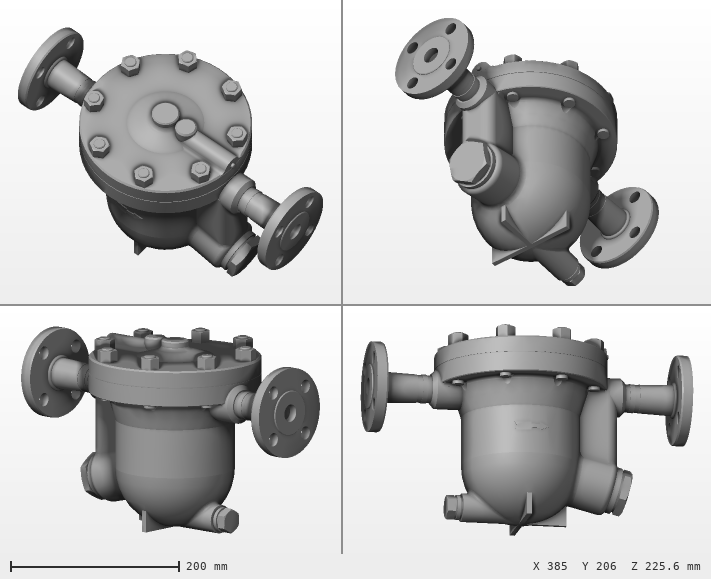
import cadquery as cq
import math


cover_radius = 103.0
cover_top = 46.2
cover_edge = 2.0
gasket_z = 26.1
gasket_gap = 1.0
gasket_inset = 0.6
flange_bottom = 3.0
flange_edge = 1.0
underside_fillet = 4.0

body_radius = 71.2
cone_top_radius = 80.4
cone_bottom = -31.2
body_bottom = -160.6
dome_center_z = body_bottom + body_radius

stud_count = 8
stud_circle_radius = 89.0
stud_diameter = 14.0
stud_top = 61.7
stud_chamfer = 1.0
nut_flats = 21.0
nut_height = 13.5
nut_turn = 22.5
stud_bottom = -1.0
spotface_diameter = 21.0
spotface_depth = 12.0

hump_radius = 46.0
hump_neck_radius = 22.0
hump_neck_z = 53.0
top_plug_radius = 16.5
top_plug_shoulder_z = 57.5
part_top = 65.0
top_plug_chamfer = 1.5
cap_x = 31.5
cap_radius = 13.0
cap_chamfer = 2.0
passage_radius = 13.3
passage_fillet = 7.0
passage_setback = 0.4
pin_radius = 3.0
pin_z = 49.3
pin_tip_x = 106.0

inlet_face = 185.0
outlet_face = 200.0
pipe_flange_radius = 54.0
raised_face_radius = 27.0
raised_face_height = 1.5
raised_face_chamfer = 0.8
pipe_flange_thickness = 13.5
pipe_flange_chamfer = 1.0
pipe_bolt_count = 4
pipe_bolt_circle_radius = 40.0
pipe_bolt_diameter = 16.0
hub_fillet = 3.0
hub_radius = 18.7
hub_end_radius = 17.1
hub_end = 58.0
pipe_radius = 16.5
weld_radius = 17.2
weld_start = 64.0
weld_end = 70.0
pipe_end = 75.5
pipe_boss_radius = 23.2
pipe_boss_chamfer = 5.0
bore_radius = 10.5
bore_depth = 10.0

riser_half_width = 23.4
riser_end = 114.4
riser_corner = 13.4
riser_bottom = -92.0
strainer_angle = 14.0
strainer_axis_z = -85.8
strainer_radius = 33.2
strainer_length = 112.0
strainer_fillet = 7.0
strainer_root_fillet = 8.0
strainer_root_top = -70.0
strainer_washer_radius = 28.0
strainer_washer_end = 118.5
strainer_neck_radius = 25.0
strainer_hex_start = 121.5
strainer_hex_end = 131.5
strainer_hex_flats = 50.0

drain_radius = 17.0
drain_lift = 0.3
drain_z = body_bottom + drain_radius + drain_lift
drain_fillet = 4.0
drain_boss_end = 72.6
drain_washer_radius = 15.0
drain_washer_start = 75.0
drain_washer_end = 79.0
drain_neck_radius = 13.0
drain_hex_start = 81.0
drain_hex_end = 91.0
drain_hex_flats = 26.0

foot_reach = 55.0
foot_thickness = 6.0
foot_top = -130.0
arrow_z = -57.0
arrow_half_length = 20.8
arrow_half_height = 4.9
arrow_shaft_half = 2.4
arrow_tail_end = -1.0
arrow_head_start = 9.6
arrow_notch = 3.0
arrow_relief = 1.3


def cylinder_x(radius, x_start, x_end, z=0.0):
    """Cylinder along X between two stations."""
    plane = cq.Workplane("YZ", origin=(x_start, 0, z))
    return plane.circle(radius).extrude(x_end - x_start)


def hex_prism(plane, flats, height, chamfered_end):
    """Hexagon bar with the corners of the chosen end turned off conically."""
    corner_radius = flats / math.sqrt(3)
    turned_off = corner_radius - flats / 2
    prism = plane.polygon(6, 2 * corner_radius).extrude(height)
    envelope = plane.circle(corner_radius).extrude(height)
    envelope = envelope.faces(chamfered_end).chamfer(turned_off / 2, turned_off)
    return prism.intersect(envelope)


def make_shell():
    """Body cone, cylinder and spherical bottom as one revolved solid."""
    dome_mid = body_radius * math.sqrt(0.5)
    profile = (
        cq.Workplane("XZ")
        .moveTo(0, gasket_z)
        .lineTo(cone_top_radius + underside_fillet, gasket_z)
        .lineTo(cone_top_radius + underside_fillet, flange_bottom)
        .radiusArc((cone_top_radius, flange_bottom - underside_fillet), -underside_fillet)
        .lineTo(body_radius, cone_bottom)
        .lineTo(body_radius, dome_center_z)
        .threePointArc((dome_mid, dome_center_z - dome_mid), (0, body_bottom))
        .close()
    )
    return profile.revolve(360, (0, 0, 0), (0, 1, 0))


def make_flanges():
    """Cover disc on the body flange, with a shallow gap at the gasket."""
    body_flange = (
        cq.Workplane("XY", origin=(0, 0, flange_bottom))
        .circle(cover_radius)
        .extrude(gasket_z - gasket_gap / 2 - flange_bottom)
        .faces("<Z")
        .chamfer(flange_edge)
    )
    gasket = (
        cq.Workplane("XY", origin=(0, 0, gasket_z - gasket_gap / 2))
        .circle(cover_radius - gasket_inset)
        .extrude(gasket_gap)
    )
    cover = (
        cq.Workplane("XY", origin=(0, 0, gasket_z + gasket_gap / 2))
        .circle(cover_radius)
        .extrude(cover_top - gasket_z - gasket_gap / 2)
        .faces(">Z")
        .chamfer(cover_edge)
    )
    return body_flange.union(gasket).union(cover)


def make_underside_flare():
    """Concave flare where the inlet boss and riser sides meet the flange underside."""
    foot_y = riser_half_width + underside_fillet
    flare_start_z = flange_bottom - underside_fillet
    section = (
        cq.Workplane("YZ", origin=(-cover_radius, 0, 0))
        .moveTo(-foot_y, flange_bottom)
        .radiusArc((-riser_half_width, flare_start_z), underside_fillet)
        .lineTo(riser_half_width, flare_start_z)
        .radiusArc((foot_y, flange_bottom), underside_fillet)
        .lineTo(foot_y, gasket_z)
        .lineTo(-foot_y, gasket_z)
        .close()
        .extrude(2 * cover_radius)
    )
    envelope = (
        cq.Workplane("XY", origin=(0, 0, -cover_radius))
        .circle(cover_radius - underside_fillet + flange_edge)
        .extrude(2 * cover_radius)
    )
    return section.intersect(envelope)


def stud_circle():
    """Workplane with one point per stud, straddling the X and Y axes."""
    half_pitch = 180 / stud_count
    return cq.Workplane("XY").polarArray(stud_circle_radius, half_pitch, 360, stud_count)


def make_stud():
    """Stud with its nut on the cover and its lower tip below the body flange."""
    nut_plane = cq.Workplane("XY", origin=(0, 0, cover_top)).transformed(rotate=(0, 0, nut_turn))
    nut = hex_prism(nut_plane, nut_flats, nut_height, ">Z")
    stud = (
        cq.Workplane("XY", origin=(0, 0, stud_bottom))
        .circle(stud_diameter / 2)
        .extrude(stud_top - stud_bottom)
        .faces(">Z")
        .chamfer(stud_chamfer)
    )
    return nut.union(stud)


def make_spotface():
    """Clearance cut under the body flange around one stud."""
    return (
        cq.Workplane("XY", origin=(0, 0, flange_bottom))
        .circle(spotface_diameter / 2)
        .extrude(-spotface_depth)
    )


def make_hump():
    """Conical hump on the cover, flowing up into the central plug."""
    flare = hump_neck_radius - top_plug_radius
    flare_control = (top_plug_radius + flare / 3, hump_neck_z + flare / 3)
    profile = (
        cq.Workplane("XZ")
        .moveTo(0, gasket_z)
        .lineTo(hump_radius, gasket_z)
        .lineTo(hump_radius, cover_top)
        .lineTo(hump_neck_radius, hump_neck_z)
        .threePointArc(flare_control, (top_plug_radius, top_plug_shoulder_z))
        .lineTo(top_plug_radius, part_top - top_plug_chamfer)
        .lineTo(top_plug_radius - top_plug_chamfer, part_top)
        .lineTo(0, part_top)
        .close()
    )
    return profile.revolve(360, (0, 0, 0), (0, 1, 0))


def make_passage():
    """Half-round passage along the cover with filleted sides, its cap and end pin."""
    center_distance = passage_radius + passage_fillet
    foot_y = math.sqrt(center_distance**2 - passage_fillet**2)
    tangent_y = foot_y * passage_radius / center_distance
    tangent_z = cover_top + passage_fillet * passage_radius / center_distance
    middle_angle = (math.pi + math.asin(passage_fillet / center_distance) + 1.5 * math.pi) / 2
    middle_y = foot_y + passage_fillet * math.cos(middle_angle)
    middle_z = cover_top + passage_fillet + passage_fillet * math.sin(middle_angle)
    section = (
        cq.Workplane("YZ", origin=(cap_x, 0, 0))
        .moveTo(-foot_y, gasket_z)
        .lineTo(foot_y, gasket_z)
        .lineTo(foot_y, cover_top)
        .threePointArc((middle_y, middle_z), (tangent_y, tangent_z))
        .threePointArc((0, cover_top + passage_radius), (-tangent_y, tangent_z))
        .threePointArc((-middle_y, middle_z), (-foot_y, cover_top))
        .close()
        .extrude(cover_radius - cap_x)
    )
    cover_envelope = (
        cq.Workplane("XY", origin=(0, 0, gasket_z + gasket_gap))
        .circle(cover_radius - passage_setback)
        .extrude(part_top - gasket_z)
    )
    cap = (
        cq.Workplane("XY", origin=(cap_x, 0, cover_top))
        .circle(cap_radius)
        .extrude(part_top - cover_top)
        .faces(">Z")
        .chamfer(cap_chamfer)
    )
    pin = cylinder_x(pin_radius, cover_radius - pin_radius, pin_tip_x, pin_z)
    pin = pin.faces(">X").fillet(pin_radius / 2)
    return section.intersect(cover_envelope).union(cap).union(pin)


def make_pipe_end(face_distance):
    """Flanged pipe running along +X out to the given face, with a blind bore."""
    def station(depth):
        return face_distance - depth

    flange_back = raised_face_height + pipe_flange_thickness
    boss_tip_radius = pipe_boss_radius - pipe_boss_chamfer
    profile = (
        cq.Workplane("XY")
        .moveTo(0, 0)
        .lineTo(0, pipe_boss_radius)
        .lineTo(station(pipe_end + pipe_boss_chamfer), pipe_boss_radius)
        .lineTo(station(pipe_end), boss_tip_radius)
        .lineTo(station(pipe_end), pipe_radius)
        .lineTo(station(weld_end), pipe_radius)
        .lineTo(station(weld_end), weld_radius)
        .lineTo(station(weld_start), weld_radius)
        .lineTo(station(weld_start), pipe_radius)
        .lineTo(station(hub_end), pipe_radius)
        .lineTo(station(hub_end), hub_end_radius)
        .lineTo(station(flange_back + hub_fillet), hub_radius)
        .radiusArc((station(flange_back), hub_radius + hub_fillet), hub_fillet)
        .lineTo(station(flange_back), pipe_flange_radius - pipe_flange_chamfer)
        .lineTo(station(flange_back - 2 * pipe_flange_chamfer), pipe_flange_radius)
        .lineTo(station(raised_face_height), pipe_flange_radius)
        .lineTo(station(raised_face_height), raised_face_radius)
        .lineTo(station(raised_face_chamfer), raised_face_radius)
        .lineTo(station(0), raised_face_radius - raised_face_chamfer)
        .lineTo(station(0), 0)
        .close()
    )
    pipe = profile.revolve(360, (0, 0, 0), (1, 0, 0))
    bolt_holes = (
        cq.Workplane("YZ", origin=(face_distance, 0, 0))
        .polarArray(pipe_bolt_circle_radius, 180 / pipe_bolt_count, 360, pipe_bolt_count)
        .circle(pipe_bolt_diameter / 2)
        .extrude(-2 * flange_back)
    )
    bore = cylinder_x(bore_radius, station(bore_depth), face_distance)
    return pipe.cut(bolt_holes).cut(bore)


def make_riser():
    """Upright rounded passage joining the strainer boss to the outlet."""
    return (
        cq.Workplane("XY", origin=(riser_end / 2, 0, riser_bottom))
        .rect(riser_end, 2 * riser_half_width)
        .extrude(flange_bottom - riser_bottom)
        .edges("|Z and >X")
        .fillet(riser_corner)
    )


def tilt_strainer(shape):
    """Turn a shape built along +X onto the descending strainer axis."""
    tilted = shape.rotate((0, 0, 0), (0, 1, 0), strainer_angle)
    return tilted.translate((0, 0, strainer_axis_z))


def edges_inside(shape, x_range, z_range):
    """Edges of a shape whose bounds lie strictly inside the given X and Z ranges."""
    chosen = []
    for edge in shape.edges().vals():
        bounds = edge.BoundingBox()
        inside_x = x_range[0] < bounds.xmin and bounds.xmax < x_range[1]
        inside_z = z_range[0] < bounds.zmin and bounds.zmax < z_range[1]
        if inside_x and inside_z:
            chosen.append(edge)
    return chosen


def add_strainer_boss(casting):
    """Tilted boss with a rounded end, filleted where it leaves the body and riser."""
    boss = cylinder_x(strainer_radius, 0, strainer_length)
    boss = tilt_strainer(boss.faces(">X").edges().fillet(strainer_fillet))
    casting = casting.union(boss)
    root_x = (body_radius / 2, riser_end - riser_corner / 2)
    root = edges_inside(casting, root_x, (body_bottom, strainer_root_top))
    return casting.newObject(root).fillet(strainer_root_fillet)


def add_drain_boss(casting):
    """Drain boss low on the inlet side, filleted into the dome."""
    casting = casting.union(cylinder_x(drain_radius, -drain_boss_end, 0, drain_z))
    root = edges_inside(casting, (-body_radius, body_radius), (2 * body_bottom, drain_z + 2 * drain_radius))
    return casting.newObject(root).fillet(drain_fillet)


def make_strainer_plug():
    """Hexagon strainer plug with its washer and neck, on the strainer axis."""
    washer = cylinder_x(strainer_washer_radius, 0, strainer_washer_end)
    neck = cylinder_x(strainer_neck_radius, 0, strainer_hex_start)
    head_plane = cq.Workplane("YZ", origin=(strainer_hex_start, 0, 0)).transformed(rotate=(0, 0, 90))
    head = hex_prism(head_plane, strainer_hex_flats, strainer_hex_end - strainer_hex_start, ">X")
    return tilt_strainer(washer.union(neck).union(head))


def make_drain_plug():
    """Hexagon drain plug with its washer."""
    neck = cylinder_x(drain_neck_radius, -drain_hex_start, 0, drain_z)
    washer = cylinder_x(drain_washer_radius, -drain_washer_end, -drain_washer_start, drain_z)
    head_plane = cq.Workplane("YZ", origin=(-drain_hex_end, 0, drain_z)).transformed(rotate=(0, 0, 90))
    head = hex_prism(head_plane, drain_hex_flats, drain_hex_end - drain_hex_start, "<X")
    return neck.union(washer).union(head)


def make_feet():
    """Three upright plates under the dome, toward -Y, +Y and +X."""
    height = foot_top - body_bottom
    base = cq.Workplane("XY", origin=(0, 0, body_bottom))
    cross_plate = base.rect(foot_thickness, 2 * foot_reach).extrude(height)
    side_plate = base.center(foot_reach / 2, 0).rect(foot_reach, foot_thickness).extrude(height)
    return cross_plate.union(side_plate)


def make_arrow():
    """Raised flow arrow on the -Y side, following the body cylinder."""
    outline = (
        cq.Workplane("XZ", origin=(0, 0, arrow_z))
        .moveTo(-arrow_half_length, arrow_half_height)
        .lineTo(arrow_tail_end, arrow_half_height)
        .lineTo(arrow_tail_end, arrow_shaft_half)
        .lineTo(arrow_head_start, arrow_shaft_half)
        .lineTo(arrow_head_start, arrow_half_height)
        .lineTo(arrow_half_length, 0)
        .lineTo(arrow_head_start, -arrow_half_height)
        .lineTo(arrow_head_start, -arrow_shaft_half)
        .lineTo(arrow_tail_end, -arrow_shaft_half)
        .lineTo(arrow_tail_end, -arrow_half_height)
        .lineTo(-arrow_half_length, -arrow_half_height)
        .lineTo(-arrow_half_length + arrow_notch, 0)
        .close()
        .extrude(2 * body_radius)
    )
    raised_skin = (
        cq.Workplane("XY", origin=(0, 0, arrow_z - 2 * arrow_half_height))
        .circle(body_radius + arrow_relief)
        .extrude(4 * arrow_half_height)
    )
    return outline.intersect(raised_skin)


inlet = make_pipe_end(inlet_face).rotate((0, 0, 0), (0, 0, 1), 180)
outlet = make_pipe_end(outlet_face)

casting = add_drain_boss(make_shell())
casting = add_strainer_boss(casting.union(make_riser()))
casting = casting.union(inlet).union(outlet)
casting = casting.union(make_underside_flare())
spotface = make_spotface().val()
casting = casting.cut(stud_circle().eachpoint(lambda place: spotface.moved(place), True))

result = casting.union(make_flanges())
stud = make_stud().val()
result = result.union(stud_circle().eachpoint(lambda place: stud.moved(place), True))
for feature in (make_hump, make_passage, make_strainer_plug, make_drain_plug, make_feet, make_arrow):
    result = result.union(feature())